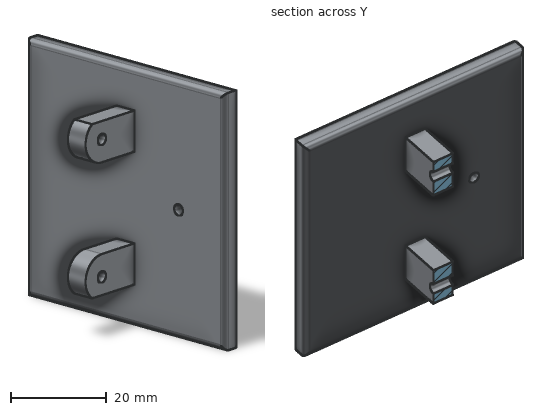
import cadquery as cq
import math

plate_side = 56.3
total_depth = 19.35
edge_radius = 1.25
hole_diameter = 2.5
plate_hole_x = 15.05

lug_width = 5.0
lug_reach = 15.0
pivot_z = 15.05
nose_radius = 5.0
outer_margin = 4.0

plate_thickness = total_depth - lug_reach
pivot_y = -(lug_reach - nose_radius)


def make_plate():
    plate = cq.Workplane("XY").box(
        plate_side, plate_thickness, plate_side, centered=(True, False, True)
    )
    plate = plate.faces("<Y or >Y").edges().fillet(edge_radius)
    hole = (
        cq.Workplane("XZ")
        .center(plate_hole_x, 0)
        .circle(hole_diameter / 2)
        .extrude(-plate_thickness)
    )
    return plate.cut(hole)


def make_upper_lug():
    inner_z = pivot_z - nose_radius
    outer_z = pivot_z + outer_margin
    outer_corner_y = pivot_y - math.sqrt(nose_radius**2 - outer_margin**2)
    lug = (
        cq.Workplane("YZ")
        .moveTo(0, inner_z)
        .lineTo(pivot_y, inner_z)
        .threePointArc((-lug_reach, pivot_z), (outer_corner_y, outer_z))
        .lineTo(0, outer_z)
        .close()
        .extrude(lug_width / 2, both=True)
    )
    pivot_hole = (
        cq.Workplane("YZ")
        .center(pivot_y, pivot_z)
        .circle(hole_diameter / 2)
        .extrude(lug_width / 2, both=True)
    )
    return lug.cut(pivot_hole)


upper_lug = make_upper_lug()
lower_lug = upper_lug.mirror("XY")
result = make_plate().union(upper_lug).union(lower_lug)